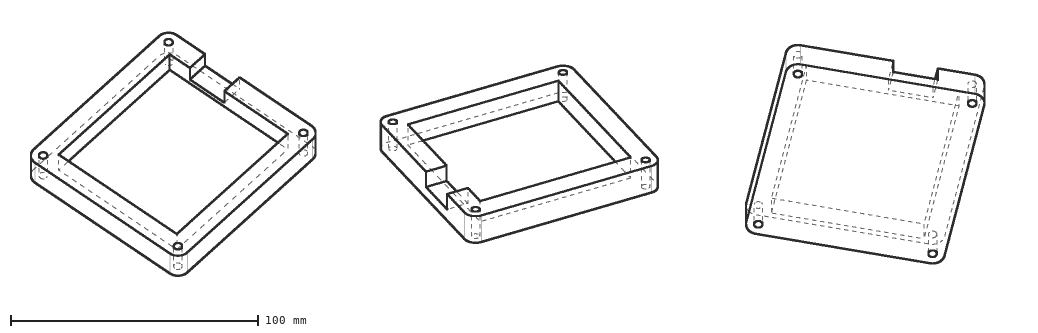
import cadquery as cq

width = 82.1
length = 87.7
height = 13.0
corner_radius = 5.0

wall = 9.5
pocket_depth = 10.0

notch_width = 18.4
notch_depth = 7.5
notch_left_offset = 20.3

hole_diameter = 3.4


def make_block():
    block = cq.Workplane("XY").box(width, length, height, centered=(True, True, False))
    return block.edges("|Z").fillet(corner_radius)


def make_pocket():
    return (
        cq.Workplane("XY")
        .workplane(offset=height - pocket_depth)
        .rect(width - 2 * wall, length - 2 * wall)
        .extrude(pocket_depth)
    )


def make_notch():
    center_x = -width / 2 + notch_left_offset + notch_width / 2
    center_y = length / 2 - wall / 2
    return (
        cq.Workplane("XY")
        .workplane(offset=height - notch_depth)
        .center(center_x, center_y)
        .rect(notch_width, wall)
        .extrude(notch_depth)
    )


def make_screw_holes():
    return (
        cq.Workplane("XY")
        .rect(width - 2 * corner_radius, length - 2 * corner_radius, forConstruction=True)
        .vertices()
        .circle(hole_diameter / 2)
        .extrude(height)
    )


result = make_block().cut(make_pocket()).cut(make_notch()).cut(make_screw_holes())